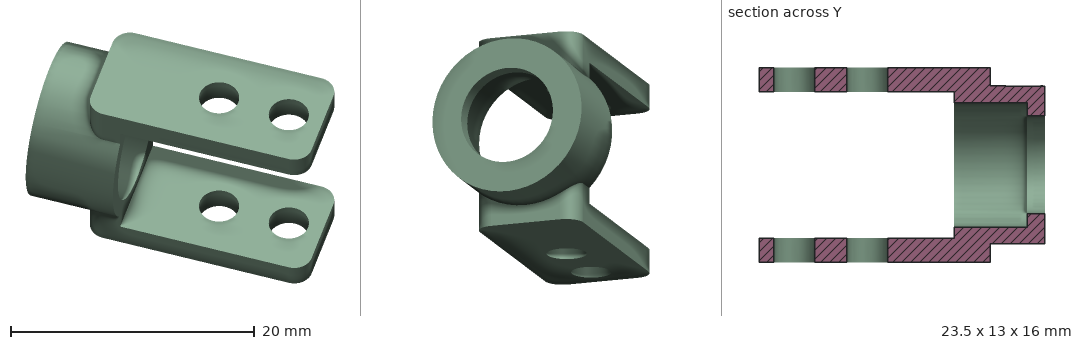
import cadquery as cq

sleeve_length = 7.5
sleeve_diameter = 13.0
bore_diameter = 8.0
counterbore_diameter = 10.2
lip_thickness = 1.5

overall_length = 23.5
fork_start = 4.5
fork_width = 9.0
fork_height = 16.0
arm_thickness = 2.0
corner_radius = 1.5

hole_diameter = 3.3
hole_spacing = 6.0
hole_end_distance = 2.9

fork_length = overall_length - fork_start
gap_height = fork_height - 2 * arm_thickness
last_hole_x = overall_length - hole_end_distance
hole_positions = [last_hole_x - hole_spacing, last_hole_x]


def x_cylinder(diameter, start, end):
    """Solid cylinder on the X axis between two X positions."""
    return cq.Workplane("YZ", origin=(start, 0, 0)).circle(diameter / 2).extrude(end - start)


def fork_body():
    """Rounded block with the gap between the arms removed beyond the sleeve."""
    block = (
        cq.Workplane("XY")
        .box(fork_length, fork_width, fork_height, centered=(False, True, True))
        .translate((fork_start, 0, 0))
        .edges("|Z")
        .fillet(corner_radius)
    )
    gap = (
        cq.Workplane("XY")
        .box(overall_length - sleeve_length, fork_width, gap_height, centered=(False, True, True))
        .translate((sleeve_length, 0, 0))
    )
    return block.cut(gap)


def cross_hole(x):
    """Vertical cylinder that passes through both arms."""
    return (
        cq.Workplane("XY", origin=(x, 0, -fork_height / 2))
        .circle(hole_diameter / 2)
        .extrude(fork_height)
    )


sleeve = x_cylinder(sleeve_diameter, 0, sleeve_length)
result = sleeve.union(fork_body())

result = result.cut(x_cylinder(bore_diameter, 0, lip_thickness))
result = result.cut(x_cylinder(counterbore_diameter, lip_thickness, sleeve_length))

for hole_x in hole_positions:
    result = result.cut(cross_hole(hole_x))